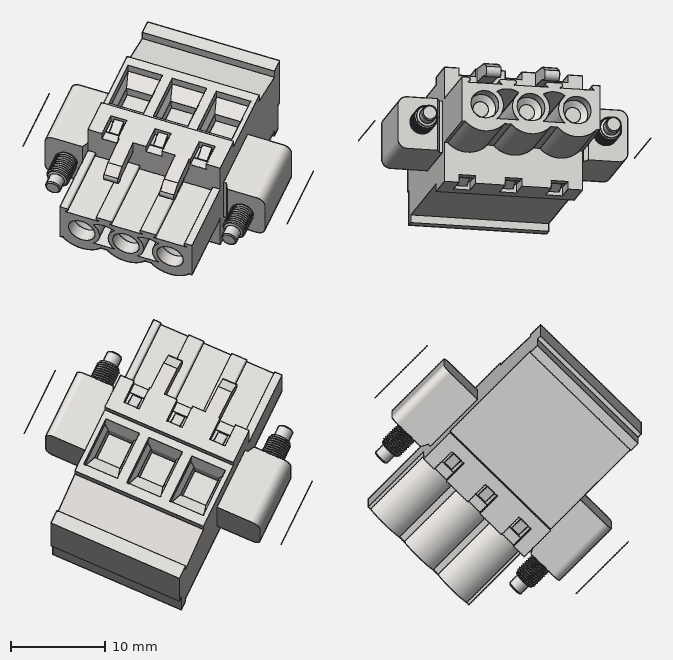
import cadquery as cq
import math


POLE_PITCH = 5.0
POLE_CENTRES = [-POLE_PITCH, 0, POLE_PITCH]
TOTAL_WIDTH = 30.0

BLOCK_WIDTH = 15.0
BLOCK_LENGTH = 17.65
BLOCK_TOP = 6.3
BLOCK_DECK = 5.45
COLLAR_LENGTH = 4.0
DECK_BACK = 11.58
RAMP_TOP = 4.47
RAMP_FOOT = 3.4
REAR_RIB_TOP = 4.4
REAR_RIB_LENGTH = 1.55
REAR_STEP = 0.48
REAR_STEP_HEIGHT = -2.5

NOSE_LENGTH = 8.35
NOSE_TOP = 2.85
NOSE_FLOOR = -2.0
BARREL_RADIUS = 2.95
GROOVE_DEPTH = 0.55
GROOVE_HALF_WIDTH = 1.85
LIP_OVERHANG = 0.27
LIP_RADIUS = 0.2
LIP_ARC = (90, 22.5, -45)

CONTACT_RADIUS = 1.5
CONTACT_DEPTH = 1.5
CONTACT_FLOOR_RADIUS = 0.85
CONTACT_CONE_LENGTH = 0.5
HOLLOW_WALL_RADIUS = 2.0
HOLLOW_HALF_HEIGHT = 1.5
HOLLOW_CROWN_HEIGHT = 1.85

LATCH_WIDTH = 1.6
LATCH_CENTRE = 3.18
LATCH_ROOT_BOTTOM = 4.83
LATCH_BEND = -3.27
LATCH_BEND_TOP = 6.0
LATCH_BEND_BOTTOM = 4.65
LATCH_TIP_CENTRE = (-4.02, 4.95)
LATCH_TIP_RADIUS = 0.6
LATCH_TIP_ARC = (138, 224, 310)

WELL_HALF_WIDTH = 1.95
WELL_FRONT = 4.85
WELL_BACK = 10.47
WELL_THROAT_Z = 4.5
WELL_THROAT_FRONT = 5.13
WELL_NECK_Z = 3.78
WELL_NECK_HALF_WIDTH = 1.47
WELL_NECK_FRONT = 5.35
WELL_NECK_BACK = 8.75
WELL_BOTTOM_Z = 2.73
WELL_BOTTOM_HALF_WIDTH = 1.38

SLOT_WIDTH = 1.8
SLOT_LENGTH = 2.65
SLOT_FRONT_LENGTH = 1.08
SLOT_BACK_DROP = 0.1
WEDGE_WIDTH = 1.08
WEDGE_LENGTH = 1.47
WEDGE_BACK_Z = 5.9

FLANGE_WIDTH = 25.0
FLANGE_HALF_HEIGHT = 2.85
FLANGE_RADIUS = 1.0
FLANGE_FRONT = 0.27
FLANGE_BACK = 8.13
NOTCH_DEPTH = 0.75
NOTCH_INNER_WIDTH = 0.33
NOTCH_OUTER_WIDTH = 0.72

SCREW_SPACING = 20.0
THREAD_RADIUS = 1.25
THREAD_ROOT_RADIUS = 1.1
THREAD_PITCH = 0.26
THREAD_LENGTH = 2.85
THREAD_OVERLAP = 0.01
THREAD_RUNOUT = 0.1
RIDGE_SHARE_OF_PITCH = 0.98
SCREW_LENGTH = 4.23
SCREW_TIP_RADIUS = 0.85
SCREW_TIP_CHAMFER = 0.12

WIRE_DIAMETER = 0.03


def box(x_range, y_range, z_range):
    """Axis-aligned box given by its limits."""
    size = [high - low for low, high in (x_range, y_range, z_range)]
    return cq.Workplane("XY").box(*size, centered=False).translate((x_range[0], y_range[0], z_range[0]))


def loft_rectangles(lower, upper):
    """Loft between two level rectangles, each given as (half width, y front, y back, z)."""
    wires = []
    for half_width, y_front, y_back, z in (lower, upper):
        corners = [(-half_width, y_front), (half_width, y_front), (half_width, y_back), (-half_width, y_back)]
        wires.append(cq.Wire.makePolygon([cq.Vector(x, y, z) for x, y in corners], close=True))
    return cq.Workplane(cq.Solid.makeLoft(wires, True))


def make_block():
    rib_front = BLOCK_LENGTH - REAR_RIB_LENGTH
    lip_back = BLOCK_LENGTH - REAR_STEP
    outline = [
        (0, -BLOCK_TOP),
        (0, BLOCK_TOP),
        (COLLAR_LENGTH, BLOCK_TOP),
        (COLLAR_LENGTH, BLOCK_DECK),
        (DECK_BACK, BLOCK_DECK),
        (DECK_BACK, RAMP_TOP),
        (rib_front, RAMP_FOOT),
        (rib_front, REAR_RIB_TOP),
        (BLOCK_LENGTH, REAR_RIB_TOP),
        (BLOCK_LENGTH, REAR_STEP_HEIGHT),
        (lip_back, REAR_STEP_HEIGHT),
        (lip_back, -BLOCK_TOP),
        (rib_front, -BLOCK_TOP),
        (rib_front, -BLOCK_DECK),
        (COLLAR_LENGTH, -BLOCK_DECK),
        (COLLAR_LENGTH, -BLOCK_TOP),
    ]
    return cq.Workplane("YZ").polyline(outline).close().extrude(BLOCK_WIDTH / 2, both=True)


def make_nose():
    """Nose with a flat top and one half-barrel below each pole."""
    half_width = BLOCK_WIDTH / 2
    half_chord = math.sqrt(BARREL_RADIUS**2 - NOSE_FLOOR**2)
    outline = cq.Workplane("XZ").moveTo(half_width, NOSE_FLOOR)
    for x in reversed(POLE_CENTRES):
        outline = outline.lineTo(x + half_chord, NOSE_FLOOR)
        outline = outline.threePointArc((x, -BARREL_RADIUS), (x - half_chord, NOSE_FLOOR))
    outline = outline.lineTo(-half_width, NOSE_FLOOR).lineTo(-half_width, NOSE_TOP).lineTo(half_width, NOSE_TOP)
    return outline.close().extrude(NOSE_LENGTH)


def arc_points(centre, radius, angles):
    """Points on a circle at the given angles in degrees."""
    return [
        (
            centre[0] + radius * math.cos(math.radians(angle)),
            centre[1] + radius * math.sin(math.radians(angle)),
        )
        for angle in angles
    ]


def make_groove(x):
    """Undercut groove along the nose, with rounded lips."""
    lip_centre = (-(GROOVE_HALF_WIDTH - LIP_OVERHANG + LIP_RADIUS), NOSE_TOP - LIP_RADIUS)
    lip_start, lip_middle, lip_end = arc_points(lip_centre, LIP_RADIUS, LIP_ARC)
    groove_half = (
        cq.Workplane("XZ")
        .moveTo(*lip_start)
        .threePointArc(lip_middle, lip_end)
        .lineTo(-GROOVE_HALF_WIDTH, NOSE_TOP - GROOVE_DEPTH)
        .lineTo(0, NOSE_TOP - GROOVE_DEPTH)
        .lineTo(0, NOSE_TOP)
        .close()
        .extrude(NOSE_LENGTH)
    )
    return groove_half.union(groove_half.mirror("YZ")).translate((x, 0, 0))


def make_contact_hole(x):
    """Round contact opening that ends in a cone with a flat floor."""
    cone_end = CONTACT_DEPTH + CONTACT_CONE_LENGTH
    outline = [
        (0, 0),
        (CONTACT_RADIUS, 0),
        (CONTACT_RADIUS, CONTACT_DEPTH),
        (CONTACT_FLOOR_RADIUS, cone_end),
        (0, cone_end),
    ]
    hole = cq.Workplane("XY").polyline(outline).close().revolve(360, (0, 0, 0), (0, 1, 0))
    return hole.translate((x, -NOSE_LENGTH, 0))


def make_hollow(x):
    """Hollow between two contact openings, its side walls concentric with them."""
    half_pitch = POLE_PITCH / 2
    waist = half_pitch - HOLLOW_WALL_RADIUS
    half_width = half_pitch - math.sqrt(HOLLOW_WALL_RADIUS**2 - HOLLOW_HALF_HEIGHT**2)
    return (
        cq.Workplane("XZ")
        .moveTo(x - half_width, -HOLLOW_HALF_HEIGHT)
        .threePointArc((x - waist, 0), (x - half_width, HOLLOW_HALF_HEIGHT))
        .threePointArc((x, HOLLOW_CROWN_HEIGHT), (x + half_width, HOLLOW_HALF_HEIGHT))
        .threePointArc((x + waist, 0), (x + half_width, -HOLLOW_HALF_HEIGHT))
        .close()
        .extrude(NOSE_LENGTH)
    )


def make_latch(x):
    """Latch arm that reaches forward from the top of the block and ends in a rounded tip."""
    tip_start, tip_middle, tip_end = arc_points(LATCH_TIP_CENTRE, LATCH_TIP_RADIUS, LATCH_TIP_ARC)
    latch = (
        cq.Workplane("YZ")
        .moveTo(0, BLOCK_TOP)
        .lineTo(LATCH_BEND, LATCH_BEND_TOP)
        .lineTo(*tip_start)
        .threePointArc(tip_middle, tip_end)
        .lineTo(LATCH_BEND, LATCH_BEND_BOTTOM)
        .lineTo(0, LATCH_ROOT_BOTTOM)
        .close()
        .extrude(LATCH_WIDTH / 2, both=True)
    )
    return latch.translate((x, 0, 0))


def make_well(x):
    """Well with a rectangular mouth, a funnel and a narrower shaft below it."""
    mouth = (WELL_HALF_WIDTH, WELL_FRONT, WELL_BACK, BLOCK_DECK)
    throat = (WELL_HALF_WIDTH, WELL_THROAT_FRONT, WELL_BACK, WELL_THROAT_Z)
    neck = (WELL_NECK_HALF_WIDTH, WELL_NECK_FRONT, WELL_NECK_BACK, WELL_NECK_Z)
    bottom = (WELL_BOTTOM_HALF_WIDTH, WELL_NECK_FRONT, WELL_NECK_BACK, WELL_BOTTOM_Z)
    well = loft_rectangles(bottom, neck)
    well = well.union(loft_rectangles(neck, throat))
    well = well.union(loft_rectangles(throat, mouth))
    return well.translate((x, 0, 0))


def make_slot(x):
    """Slot in the collar top, open to the front, with a wedge left standing at its back."""
    half_width = SLOT_WIDTH / 2
    back_floor = BLOCK_DECK - SLOT_BACK_DROP
    slot = box((-half_width, half_width), (0, SLOT_LENGTH), (BLOCK_DECK, BLOCK_TOP))
    slot = slot.union(box((-half_width, half_width), (SLOT_FRONT_LENGTH, SLOT_LENGTH), (back_floor, BLOCK_TOP)))
    wedge_outline = [(SLOT_LENGTH - WEDGE_LENGTH, back_floor), (SLOT_LENGTH, back_floor), (SLOT_LENGTH, WEDGE_BACK_Z)]
    wedge = cq.Workplane("YZ").polyline(wedge_outline).close().extrude(WEDGE_WIDTH / 2, both=True)
    return slot.cut(wedge).translate((x, 0, 0))


def make_flanges():
    """Plate through the block that carries both screws, notched where it meets the block."""
    plate = (
        cq.Workplane("XZ", origin=(0, FLANGE_BACK, 0))
        .rect(FLANGE_WIDTH, 2 * FLANGE_HALF_HEIGHT)
        .extrude(FLANGE_BACK - FLANGE_FRONT)
        .edges("|Y")
        .fillet(FLANGE_RADIUS)
    )
    block_side = BLOCK_WIDTH / 2
    notch_back = FLANGE_FRONT + NOTCH_DEPTH
    notch_outline = [
        (block_side, FLANGE_FRONT),
        (block_side + NOTCH_OUTER_WIDTH, FLANGE_FRONT),
        (block_side + NOTCH_INNER_WIDTH, notch_back),
        (block_side, notch_back),
    ]
    notch = cq.Workplane("XY").polyline(notch_outline).close().extrude(FLANGE_HALF_HEIGHT, both=True)
    return plate.cut(notch).cut(notch.mirror("YZ"))


def make_housing():
    housing = make_block().union(make_flanges()).union(make_nose())
    for side in (-1, 1):
        housing = housing.union(make_latch(side * LATCH_CENTRE))
        housing = housing.cut(make_hollow(side * POLE_PITCH / 2))
    for x in POLE_CENTRES:
        slot = make_slot(x)
        housing = housing.cut(make_groove(x)).cut(make_contact_hole(x)).cut(make_well(x))
        housing = housing.cut(slot).cut(slot.mirror("XY"))
    return housing


def make_screw(x):
    """Screw standing on the front of a flange, with a helical thread and a plain tip."""
    core_outline = [
        (0, 0),
        (THREAD_ROOT_RADIUS, 0),
        (THREAD_ROOT_RADIUS, THREAD_LENGTH),
        (SCREW_TIP_RADIUS, THREAD_LENGTH + THREAD_RUNOUT),
        (SCREW_TIP_RADIUS, SCREW_LENGTH - SCREW_TIP_CHAMFER),
        (SCREW_TIP_RADIUS - SCREW_TIP_CHAMFER, SCREW_LENGTH),
        (0, SCREW_LENGTH),
    ]
    core = cq.Workplane("XZ").polyline(core_outline).close().revolve(360, (0, 0, 0), (0, 1, 0))
    half_ridge = THREAD_PITCH * RIDGE_SHARE_OF_PITCH / 2
    ridge_root = THREAD_ROOT_RADIUS - THREAD_OVERLAP
    helix = cq.Wire.makeHelix(THREAD_PITCH, THREAD_LENGTH - 2 * half_ridge, ridge_root)
    ridge = (
        cq.Workplane("XZ")
        .polyline([(ridge_root, -half_ridge), (THREAD_RADIUS, 0), (ridge_root, half_ridge)])
        .close()
        .sweep(cq.Workplane(helix), isFrenet=True)
        .translate((0, 0, half_ridge))
    )
    screw = core.union(ridge)
    return screw.rotate((0, 0, 0), (1, 0, 0), 90).translate((x, FLANGE_FRONT, 0))


def make_wire(x):
    """Thin straight wire beside a flange, as long as the flange."""
    wire = cq.Workplane("XZ", origin=(x, FLANGE_BACK, 0)).circle(WIRE_DIAMETER / 2)
    return wire.extrude(FLANGE_BACK - FLANGE_FRONT)


housing = make_housing()
screws = [make_screw(side * SCREW_SPACING / 2) for side in (-1, 1)]
wires = [make_wire(side * (TOTAL_WIDTH - WIRE_DIAMETER) / 2) for side in (-1, 1)]

result = cq.Compound.makeCompound([body.solids().val() for body in [housing, *screws, *wires]])